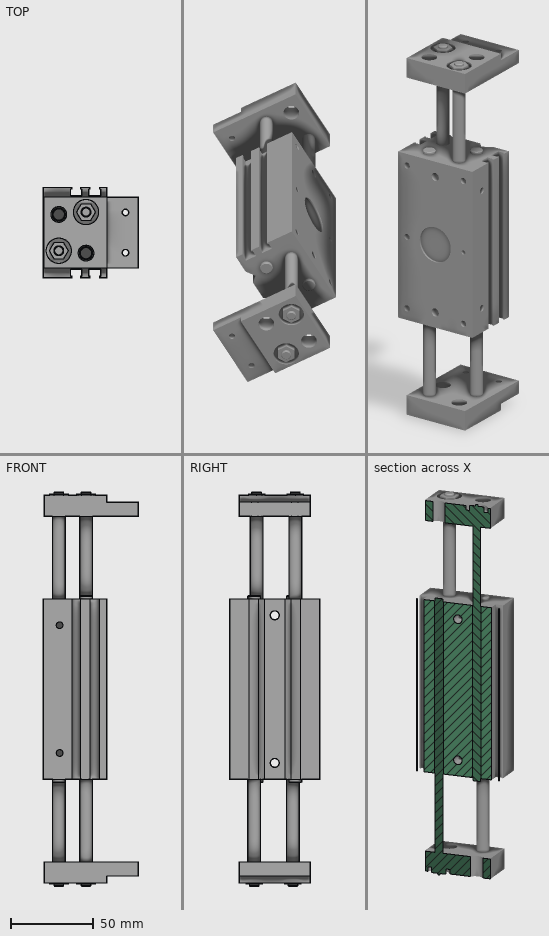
import cadquery as cq

TOTAL_LENGTH = 240.0
TOTAL_WIDTH_X = 58.0
HALF_LENGTH = TOTAL_LENGTH / 2
LEFT_X = -TOTAL_WIDTH_X / 2
RIGHT_X = TOTAL_WIDTH_X / 2

HOUSING_LENGTH = 110.0
HOUSING_DEPTH_X = 39.0
HOUSING_WIDTH_Y = 55.0
HOUSING_HALF_LENGTH = HOUSING_LENGTH / 2
HOUSING_HALF_WIDTH = HOUSING_WIDTH_Y / 2
HOUSING_RIGHT_X = LEFT_X + HOUSING_DEPTH_X

SLOTS = [(-9.0, 5.3), (2.5, 5.8)]
SLOT_DEPTH = 5.0
SLOT_LIP = 1.0
SLOT_UNDERCUT = 0.7

GROOVE_INNER_Y = 6.2
GROOVE_OUTER_Y = 15.5
GROOVE_BOTTOM_Y = 9.8
GROOVE_DEPTH = 3.8

BOLT_HOLE_DIAMETER = 5.3
BOLT_HOLE_Z = 45.0
MOUNT_HOLE_DIAMETER = 4.0
MOUNT_HOLE_Z = 47.3
MOUNT_HOLE_Y = 21.0
LARGE_DOWEL_DIAMETER = 3.8
SMALL_DOWEL_DIAMETER = 3.0
MOUNT_HOLE_DEPTH = 6.0
DISC_DIAMETER = 23.0
DISC_DEPTH = 1.5

PORT_DIAMETER = 4.0
PORT_X = -19.0
PORT_Z = 39.0
PORT_DEPTH = 6.0

PLATE_SETBACK = 0.7
PLATE_LEFT_X = LEFT_X + PLATE_SETBACK
PLATE_WIDTH_Y = 43.2
PLATE_INNER_Z = 105.0
PLATE_THICKNESS = 13.0
PLATE_OUTER_Z = PLATE_INNER_Z + PLATE_THICKNESS
FLANGE_THICKNESS = 8.6
FLANGE_HOLE_DIAMETER = 3.8
FLANGE_HOLE_X = 21.0
FLANGE_HOLE_Y = 12.2

ROD_DIAMETER = 8.0
ROD_POSITIONS = [(-19.5, -11.0), (-3.0, 12.5)]
OPPOSITE_RODS = [(x, -y) for x, y in ROD_POSITIONS]
ROD_PROTRUSION = 2.0
ROD_CHAMFER = 0.5
ROD_TIP_Z = -HOUSING_HALF_LENGTH - ROD_PROTRUSION
CLEARANCE_DIAMETER = 9.5

COUNTERBORE_DIAMETER = 15.4
COUNTERBORE_DEPTH = 3.0
NUT_ACROSS_CORNERS = 11.5
NUT_PROTRUSION = 0.5
STUD_DIAMETER = 6.0
STUD_CHAMFER = 0.5
NUT_BASE_Z = PLATE_OUTER_Z - COUNTERBORE_DEPTH
NUT_TOP_Z = PLATE_OUTER_Z + NUT_PROTRUSION


def rod_cylinder(diameter, bottom_z, top_z, positions):
    """Cylinders along Z, one at each (x, y) position."""
    return (
        cq.Workplane("XY", origin=(0, 0, bottom_z))
        .pushPoints(positions)
        .circle(diameter / 2)
        .extrude(top_z - bottom_z)
    )


def drill_left_face(diameter, depth, positions):
    """Cylinders that reach in from the -X face of the housing, at (y, z) positions."""
    return (
        cq.Workplane("YZ", origin=(LEFT_X, 0, 0))
        .pushPoints(positions)
        .circle(diameter / 2)
        .extrude(depth)
    )


def slot_cutter(centre_x, opening, side):
    """T-slot along Z that opens on the +Y (side = 1) or -Y (side = -1) face."""
    neck = cq.Workplane("XY").box(opening, 2 * SLOT_DEPTH, HOUSING_LENGTH)
    head = cq.Workplane("XY").box(opening + 2 * SLOT_UNDERCUT, SLOT_DEPTH - SLOT_LIP, HOUSING_LENGTH)
    head_y = HOUSING_HALF_WIDTH - (SLOT_DEPTH + SLOT_LIP) / 2
    neck = neck.translate((centre_x, side * HOUSING_HALF_WIDTH, 0))
    return neck.union(head.translate((centre_x, side * head_y, 0)))


def groove_cutter(side):
    """V-groove along Z in the +X face, on the +Y (side = 1) or -Y (side = -1) half."""
    outline = [
        (HOUSING_RIGHT_X, side * GROOVE_INNER_Y),
        (HOUSING_RIGHT_X - GROOVE_DEPTH, side * GROOVE_BOTTOM_Y),
        (HOUSING_RIGHT_X, side * GROOVE_OUTER_Y),
    ]
    return cq.Workplane("XY").polyline(outline).close().extrude(HOUSING_HALF_LENGTH, both=True)


def make_housing():
    """Slotted block with rod bores, mounting holes and ports."""
    body = cq.Workplane("XY").box(HOUSING_DEPTH_X, HOUSING_WIDTH_Y, HOUSING_LENGTH)
    body = body.translate(((LEFT_X + HOUSING_RIGHT_X) / 2, 0, 0))

    for side in (1, -1):
        body = body.cut(groove_cutter(side))
        for centre_x, opening in SLOTS:
            body = body.cut(slot_cutter(centre_x, opening, side))

    bores = ROD_POSITIONS + OPPOSITE_RODS
    body = body.cut(rod_cylinder(ROD_DIAMETER, -HOUSING_HALF_LENGTH, HOUSING_HALF_LENGTH, bores))

    bolt_holes = [(0, z) for z in (BOLT_HOLE_Z, -BOLT_HOLE_Z)]
    corner_holes = [(y, z) for y in (MOUNT_HOLE_Y, -MOUNT_HOLE_Y) for z in (MOUNT_HOLE_Z, -MOUNT_HOLE_Z)]
    body = body.cut(drill_left_face(BOLT_HOLE_DIAMETER, HOUSING_DEPTH_X, bolt_holes))
    body = body.cut(drill_left_face(MOUNT_HOLE_DIAMETER, MOUNT_HOLE_DEPTH, corner_holes))
    body = body.cut(drill_left_face(LARGE_DOWEL_DIAMETER, MOUNT_HOLE_DEPTH, [(MOUNT_HOLE_Y, 0)]))
    body = body.cut(drill_left_face(SMALL_DOWEL_DIAMETER, MOUNT_HOLE_DEPTH, [(-MOUNT_HOLE_Y, 0)]))
    body = body.cut(drill_left_face(DISC_DIAMETER, DISC_DEPTH, [(0, 0)]))

    ports = (
        cq.Workplane("XZ", origin=(0, -HOUSING_HALF_WIDTH, 0))
        .pushPoints([(PORT_X, PORT_Z), (PORT_X, -PORT_Z)])
        .circle(PORT_DIAMETER / 2)
        .extrude(-PORT_DEPTH)
    )
    return body.cut(ports)


def make_plate():
    """Stepped upper end plate with clearance, flange and nut recess holes."""
    outline = [
        (PLATE_LEFT_X, PLATE_INNER_Z),
        (RIGHT_X, PLATE_INNER_Z),
        (RIGHT_X, PLATE_INNER_Z + FLANGE_THICKNESS),
        (HOUSING_RIGHT_X, PLATE_INNER_Z + FLANGE_THICKNESS),
        (HOUSING_RIGHT_X, PLATE_OUTER_Z),
        (PLATE_LEFT_X, PLATE_OUTER_Z),
    ]
    plate = cq.Workplane("XZ").polyline(outline).close().extrude(PLATE_WIDTH_Y / 2, both=True)

    flange_holes = [(FLANGE_HOLE_X, FLANGE_HOLE_Y), (FLANGE_HOLE_X, -FLANGE_HOLE_Y)]
    plate = plate.cut(rod_cylinder(FLANGE_HOLE_DIAMETER, PLATE_INNER_Z, PLATE_OUTER_Z, flange_holes))
    plate = plate.cut(rod_cylinder(CLEARANCE_DIAMETER, PLATE_INNER_Z, PLATE_OUTER_Z, OPPOSITE_RODS))
    return plate.cut(rod_cylinder(COUNTERBORE_DIAMETER, NUT_BASE_Z, PLATE_OUTER_Z, ROD_POSITIONS))


def make_slide():
    """Upper end plate in one piece with its two rods, nuts and threaded ends."""
    rods = rod_cylinder(ROD_DIAMETER, ROD_TIP_Z, NUT_BASE_Z, ROD_POSITIONS)
    rods = rods.faces("<Z").chamfer(ROD_CHAMFER)
    nuts = (
        cq.Workplane("XY", origin=(0, 0, NUT_BASE_Z))
        .pushPoints(ROD_POSITIONS)
        .polygon(6, NUT_ACROSS_CORNERS)
        .extrude(NUT_TOP_Z - NUT_BASE_Z)
    )
    studs = rod_cylinder(STUD_DIAMETER, NUT_BASE_Z, HALF_LENGTH, ROD_POSITIONS)
    studs = studs.faces(">Z").chamfer(STUD_CHAMFER)
    return make_plate().union(rods).union(nuts).union(studs)


housing = make_housing()

slides = [make_slide().rotate((0, 0, 0), (1, 0, 0), turn) for turn in (0, 180)]

slide_solids = [slide.solids().val() for slide in slides]
result = cq.Compound.makeCompound([housing.solids().val(), *slide_solids])